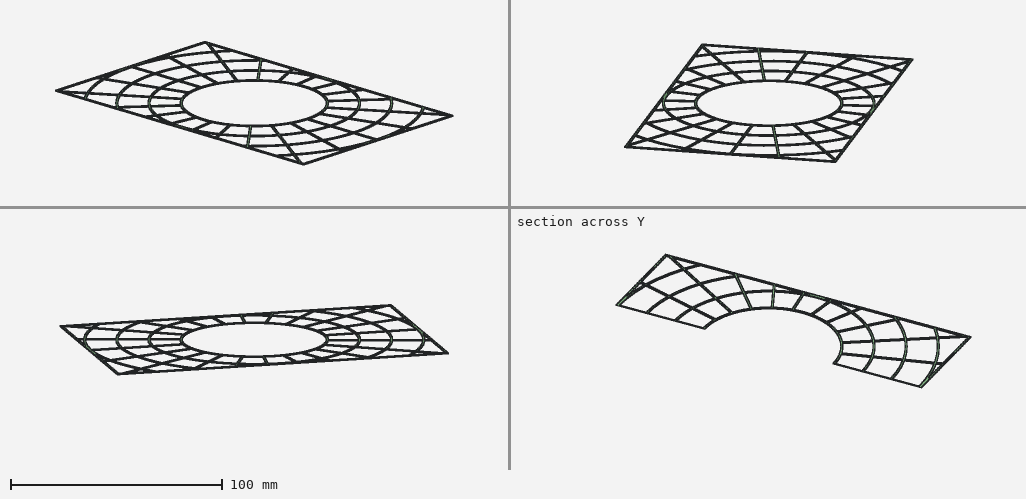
import cadquery as cq

length = 162
width = 102
thickness = 0.5

bar_width = 1.0
hole_radius = 68 / 2
outer_ring_radius = 80.5
ring_count = 4
spoke_count = 22

ring_pitch = (outer_ring_radius - bar_width - hole_radius) / (ring_count - 1)


def plate(size_x, size_y):
    return cq.Workplane("XY").rect(size_x, size_y).extrude(thickness)


def ring(inner_radius):
    outer_radius = inner_radius + bar_width
    return cq.Workplane("XY").circle(outer_radius).circle(inner_radius).extrude(thickness)


def spoke(angle):
    start = hole_radius + bar_width / 2
    bar = cq.Workplane("XY").center(start + length / 2, 0).rect(length, bar_width).extrude(thickness)
    return bar.rotate((0, 0, 0), (0, 0, 1), angle)


frame = plate(length, width).cut(plate(length - 2 * bar_width, width - 2 * bar_width))

lattice = ring(hole_radius)
for ring_index in range(1, ring_count):
    lattice = lattice.union(ring(hole_radius + ring_index * ring_pitch))
for spoke_index in range(spoke_count):
    lattice = lattice.union(spoke(spoke_index * 360 / spoke_count))

result = frame.union(lattice.intersect(plate(length, width)))